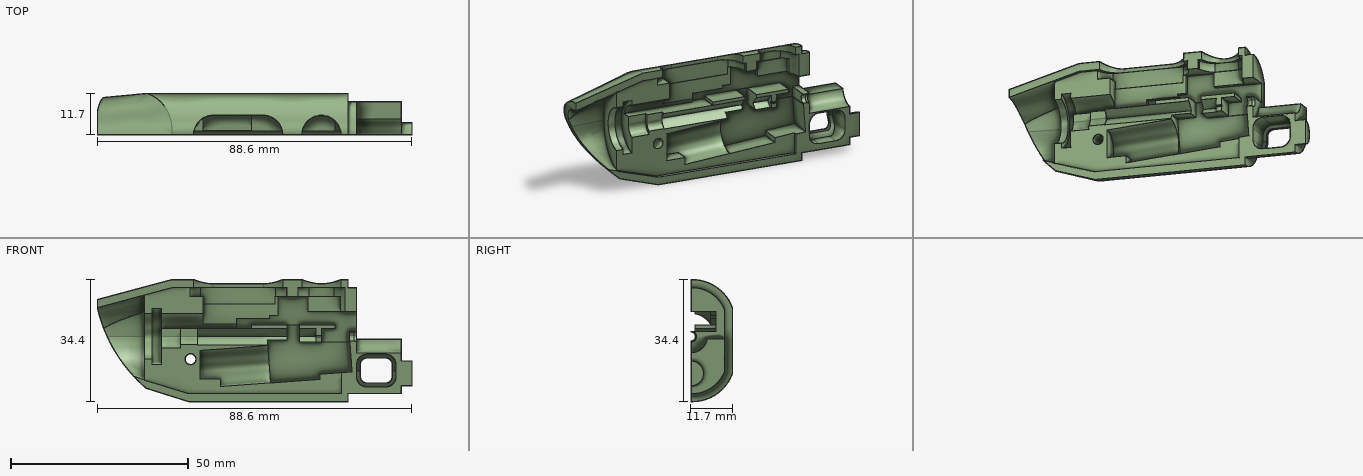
import cadquery as cq
import math


overall_length = 88.56
shell_height = 34.41
shell_depth = 11.7
shell_rear = 70.55
crown_radius = 12.1
crown_centre_y = 0.3
wall = 2.3
axis_z = 18.4

nose_radius = 10.4
nose_top_slope = math.tan(math.radians(15))
nose_mid_x = 13.74
nose_side_slope = (shell_depth - nose_radius) / nose_mid_x
nose_mid_bottom = 3.78
nose_bottom_end = 25.74
nose_bulkhead = 13.2
rim_top_z = 26.3
rim_middle = (4.5, 14.9)

rebate = 1.1
recess_rear = 68.7
rear_face = 72.95

long_button_centre = 39.6
long_button_straight = 14.1
round_button_centre = 63.0
button_radius = 5.5
flange_radius = 6.6
button_face = 5.6
well_depth = 5.4
flange_bottom = 29.6
bridge_front = 53.3
bridge_rear = 56.4

upper_depth = 7.0
lower_depth = 7.2
switch_depth = 5.5
switch_front = 29.75
switch_rear = 50.85
switch_step_x = 39.1
switch_step_z = 23.5
switch_notch_x = 48.4
switch_notch_z = 24.3
top_slot_bottom = 27.5
top_slot_rear = 50.0
round_block_front = 59.3
round_block_rear = 68.4
rear_opening_top = 25.4
rear_wall_top = 19.85
rear_wall_front = 70.9

web_top = 20.65
web_bottom = 16.85
web_front = 18.0
web_rear = 63.1
plate_top = 21.65
plate_front = 43.3
plate_rear = 66.9
web_gap_front = 53.3
web_gap_rear = 56.9

bore_radius = 6.5
groove_radius = 7.95
groove_front = 15.3
seat_radius = 3.4
seat_rear = 23.4
neck_radius = 2.5
neck_rear = 28.1
vee_half_width = 3.45
vee_rear = 61.5
slit_height = 0.45
slit_depth = 0.5
cable_hole_radius = 1.25
cable_hole_flare = 0.3
cable_hole_flare_length = 0.75

lower_front_top = 17.4
lower_floor_z = 5.3
lower_rear = 71.65
lower_step_height = 1.45
lower_step_x = 62.6
trough_front = 28.9
trough_rear = 48.7
trough_tilt = 4.2
trough_radius = 5.27
trough_axis_y = 1.3
trough_axis_z = 9.9
trough_sill_x = 34.6
trough_sill_z = 6.4

screw_x = 26.2
screw_z = 12.0
screw_diameter = 3.0

tail_rear = 85.5
tail_top = 17.65
tail_groove_radius = 4.6
loop_front = 74.0
loop_rear = 82.9
loop_bottom = 5.3
loop_top = 12.3
loop_corner = 1.8
loop_rim = 1.1
loop_skin = 1.1
loop_floor_inset = wall + loop_skin
tongue_radius = 3.5
tongue_z = 8.0


def box(x0, x1, y0, y1, z0, z1):
    """Box given by its limits along each axis."""
    return cq.Workplane("XY").box(x1 - x0, y1 - y0, z1 - z0, centered=False).translate((x0, y0, z0))


def side_plate(points, y0, y1):
    """Polygon in X and Z, running from depth y0 to depth y1."""
    return cq.Workplane("XZ", origin=(0, y0, 0)).polyline(points).close().extrude(y0 - y1)


def rod(radius, x0, x1, z=axis_z):
    """Round bar along X, centred on the mating plane."""
    return cq.Workplane("YZ", origin=(x0, 0, z)).circle(radius).extrude(x1 - x0)


def section(x, inset, top=None):
    """Cross-section of the half shell, moved inwards by inset; a given top cuts it off flat."""
    radius = crown_radius - inset
    side = shell_depth - inset
    shell_top = shell_height - inset
    edge_rise = radius - math.sqrt(radius**2 - crown_centre_y**2)
    side_rise = radius - math.sqrt(radius**2 - (side - crown_centre_y) ** 2)
    bend_y = crown_centre_y + radius * math.sqrt(0.5)
    bend_rise = radius * (1 - math.sqrt(0.5))
    outline = (
        cq.Workplane("YZ", origin=(x, 0, 0))
        .moveTo(0, inset + edge_rise)
        .threePointArc((bend_y, inset + bend_rise), (side, inset + side_rise))
    )
    if top is None:
        outline = outline.lineTo(side, shell_top - side_rise)
        outline = outline.threePointArc((bend_y, shell_top - bend_rise), (0, shell_top - edge_rise))
    else:
        outline = outline.lineTo(side, top).lineTo(0, top)
    return outline.close()


def quarter_ellipse(x, half_width, height):
    """Quarter-ellipse wire below the axis."""
    outline = cq.Workplane("YZ", origin=(x, 0, axis_z)).lineTo(0, -height)
    return outline.ellipseArc(half_width, height, 270, 360, startAtCurrent=True).close().val()


def loft(front_wire, rear_wire):
    """Straight-ruled solid between two wires."""
    return cq.Workplane(cq.Solid.makeLoft([front_wire, rear_wire], True))


def upper_nose(inset):
    """Nose above the axis: a cone whose side is flattened to a slower taper."""
    radius = nose_radius - inset
    length = nose_bottom_end
    rear_radius = radius + nose_top_slope * length
    rear_side = radius + nose_side_slope * length
    cone = (
        cq.Workplane("XZ", origin=(0, 0, axis_z))
        .polyline([(0, 0), (0, radius), (length, rear_radius), (length, 0)])
        .close()
        .revolve(360, (0, 0), (1, 0))
    )
    flat_side = (
        cq.Workplane("XY", origin=(0, 0, axis_z))
        .polyline([(0, 0), (0, radius), (length, rear_side), (length, 0)])
        .close()
        .extrude(shell_height)
    )
    return cone.intersect(flat_side)


def nose_middle(inset):
    """Quarter ellipse where the lower nose meets the full side depth."""
    return quarter_ellipse(nose_mid_x, shell_depth - inset, axis_z - nose_mid_bottom - inset)


def lower_nose(inset):
    """Front part of the nose below the axis, lofted from a quarter circle to a quarter ellipse."""
    radius = nose_radius - inset
    return loft(quarter_ellipse(0, radius, radius), nose_middle(inset))


def shell():
    """Solid half shell with its nose and the stem that carries the tail."""
    upper = section(0, 0).extrude(nose_bottom_end).intersect(upper_nose(0))
    chin = loft(nose_middle(0), section(nose_bottom_end, 0, axis_z).val())
    body = section(nose_bottom_end, 0).extrude(shell_rear - nose_bottom_end)
    stem = section(shell_rear - wall, wall).extrude(rear_face - shell_rear + wall)
    return body.union(upper).union(lower_nose(0)).union(chin).union(stem)


def nose_opening():
    """Space in front of the curved nose rim."""
    return (
        cq.Workplane("XZ")
        .moveTo(0, rim_top_z)
        .threePointArc(rim_middle, (nose_mid_x, nose_mid_bottom))
        .lineTo(nose_mid_x, 0)
        .lineTo(0, 0)
        .close()
        .extrude(-shell_depth)
    )


def nose_cavity():
    """Hollow of the nose, ending at the flat bulkhead."""
    front = box(0, nose_bulkhead, 0, shell_depth, 0, shell_height)
    return upper_nose(wall).union(lower_nose(wall)).intersect(front)


def recess():
    """Shallow rebate that leaves a lip along the shell edge and a bridge between the buttons."""
    top = shell_height - wall
    bulkhead_top = axis_z + nose_radius - wall + nose_top_slope * nose_bulkhead
    bulkhead_bottom = nose_mid_bottom + wall
    outline = [
        (nose_bulkhead, bulkhead_bottom),
        (nose_bottom_end, wall),
        (recess_rear, wall),
        (recess_rear, top),
        (nose_bulkhead + (top - bulkhead_top) / nose_top_slope, top),
        (nose_bulkhead, bulkhead_top),
    ]
    bridge = box(bridge_front, bridge_rear, 0, rebate, flange_bottom, top)
    return side_plate(outline, 0, rebate).cut(bridge)


def button_opening(centre, straight):
    """Button hole through the top wall with a wider flange seat beneath it."""
    def slot(radius, z0, z1):
        plane = cq.Workplane("XY", origin=(centre, 0, z0))
        if straight:
            outline = plane.slot2D(straight + 2 * radius, 2 * radius)
        else:
            outline = plane.circle(radius)
        return outline.extrude(z1 - z0)

    flange_top = shell_height - wall
    seat_limit = box(0, overall_length, 0, button_face, 0, shell_height)
    seat = slot(flange_radius, flange_bottom, flange_top).intersect(seat_limit)
    return slot(button_radius, flange_top, shell_height).union(seat)


def round_button_well():
    """Space under the round button, down to the rear opening."""
    well = box(round_block_front, round_block_rear, 0, well_depth, rear_opening_top, flange_bottom)
    round_end = (
        cq.Workplane("XY", origin=(round_button_centre, 0, rear_opening_top))
        .circle(flange_radius)
        .extrude(flange_bottom - rear_opening_top)
        .intersect(box(round_button_centre, rear_face, 0, well_depth, 0, shell_height))
    )
    return well.union(round_end)


def switch_cavity():
    """Cavity under the long button, slightly deeper along its top."""
    front = box(switch_front, switch_step_x, 0, switch_depth, web_top, flange_bottom)
    middle = box(switch_step_x, switch_notch_x, 0, switch_depth, switch_step_z, flange_bottom)
    rear = box(switch_notch_x, switch_rear, 0, switch_depth, switch_notch_z, flange_bottom)
    top_slot = box(switch_front, top_slot_rear, 0, button_face, top_slot_bottom, flange_bottom)
    return front.union(middle).union(rear).union(top_slot)


def upper_cavity():
    """Deep cavity behind the switch, open through the rear face."""
    outline = [
        (switch_step_x, web_top),
        (switch_step_x, switch_step_z),
        (switch_notch_x, switch_step_z),
        (switch_notch_x, switch_notch_z),
        (switch_rear, switch_notch_z),
        (switch_rear, flange_bottom),
        (round_block_front, flange_bottom),
        (round_block_front, rear_opening_top),
        (rear_face, rear_opening_top),
        (rear_face, rear_wall_top),
        (rear_wall_front, rear_wall_top),
        (rear_wall_front, web_bottom),
        (web_rear, web_bottom),
        (web_rear, web_top),
        (plate_rear, web_top),
        (plate_rear, plate_top),
        (plate_front, plate_top),
        (plate_front, web_top),
    ]
    return side_plate(outline, 0, upper_depth)


def lower_cavity():
    """Deep cavity below the web, tilted like the trough, with a slot up through the web."""
    slope = math.tan(math.radians(trough_tilt))
    front_x = trough_rear - slope * (lower_front_top - lower_floor_z)
    step_z = lower_floor_z + slope * (lower_step_x - trough_rear)
    rear_z = step_z + lower_step_height + slope * (lower_rear - lower_step_x)
    outline = [
        (front_x, lower_front_top),
        (web_gap_front, lower_front_top),
        (web_gap_front, plate_top),
        (web_gap_rear, plate_top),
        (web_gap_rear, web_bottom),
        (lower_rear - slope * (web_bottom - rear_z), web_bottom),
        (lower_rear, rear_z),
        (lower_step_x, step_z + lower_step_height),
        (lower_step_x, step_z),
        (trough_rear, lower_floor_z),
    ]
    return side_plate(outline, 0, lower_depth)


def trough():
    """Half-round battery trough, tilted upwards to the rear, with a flat sill at the front."""
    length = overall_length
    middle = (trough_front + trough_rear) / 2
    bar = (
        cq.Workplane("YZ", origin=(-length / 2, 0, 0))
        .circle(trough_radius)
        .extrude(length)
        .rotate((0, 0, 0), (0, 1, 0), -trough_tilt)
        .translate((middle, trough_axis_y, trough_axis_z))
    )
    limits = box(trough_front, trough_rear, 0, shell_depth, 0, web_bottom)
    sill = box(trough_front, trough_sill_x, 0, shell_depth, 0, trough_sill_z)
    return bar.intersect(limits).cut(sill)


def axial_bores():
    """Bore, ring groove, cable channel and cable exit along the axis."""
    upper = box(web_front, switch_step_x, 0, shell_depth, web_top, shell_height)
    bore = rod(bore_radius, nose_bulkhead, web_front).union(
        rod(bore_radius, web_front, switch_step_x).intersect(upper)
    )
    groove = rod(groove_radius, groove_front, web_front)
    cutters = bore.union(groove)
    for radius, x0, x1 in [(seat_radius, web_front, seat_rear), (neck_radius, seat_rear, neck_rear)]:
        cutters = cutters.union(rod(radius, x0, x1))
        cutters = cutters.union(box(x0, x1, 0, radius, axis_z, web_top))
    vee = (
        cq.Workplane("YZ", origin=(neck_rear, 0, axis_z))
        .polyline([(0, -vee_half_width), (vee_half_width, 0), (0, vee_half_width)])
        .close()
        .extrude(vee_rear - neck_rear)
    )
    vee = vee.intersect(box(neck_rear, vee_rear, 0, shell_depth, 0, web_top))
    slit = box(vee_rear, web_rear, 0, rebate + slit_depth, axis_z - slit_height / 2, axis_z + slit_height / 2)
    hole = rod(cable_hole_radius, rear_wall_front, rear_face)
    flare = cq.Workplane(
        cq.Solid.makeCone(
            cable_hole_radius,
            cable_hole_radius + cable_hole_flare,
            cable_hole_flare_length,
            pnt=cq.Vector(rear_face - cable_hole_flare_length, 0, axis_z),
            dir=cq.Vector(1, 0, 0),
        )
    )
    return cutters.union(vee).union(slit).union(hole).union(flare)


def tail():
    """Tail block with its concave top, strap loop and half-round tongue."""
    block = section(rear_face, wall).extrude(tail_rear - rear_face)
    block = block.intersect(box(rear_face, tail_rear, 0, shell_depth, 0, tail_top))
    block = block.cut(rod(tail_groove_radius, rear_face, tail_rear))
    half = box(tail_rear, overall_length, 0, shell_depth, 0, shell_height)
    tongue = rod(tongue_radius, tail_rear, overall_length, tongue_z).intersect(half)
    return block.union(tongue)


def loop_hole():
    """Rounded strap opening with a deep counterbore whose floor follows the outer curve."""
    def opening(margin):
        x0, x1 = loop_front - margin, loop_rear + margin
        blank = box(x0, x1, 0, shell_depth, loop_bottom - margin, loop_top + margin)
        return blank.edges("|Y").fillet(loop_corner + margin)

    floor = section(rear_face - loop_rim, loop_floor_inset).extrude(tail_rear - rear_face)
    return opening(0).union(opening(loop_rim).intersect(floor))


def screw_hole():
    """Round hole right through the side of the shell."""
    start = cq.Workplane("XZ", origin=(screw_x, 0, screw_z))
    return start.circle(screw_diameter / 2).extrude(-shell_depth)


result = shell().union(tail())
for cutter in (
    nose_opening(),
    nose_cavity(),
    recess(),
    button_opening(long_button_centre, long_button_straight),
    button_opening(round_button_centre, 0),
    round_button_well(),
    switch_cavity(),
    upper_cavity(),
    lower_cavity(),
    trough(),
    axial_bores(),
    loop_hole(),
    screw_hole(),
):
    result = result.cut(cutter)